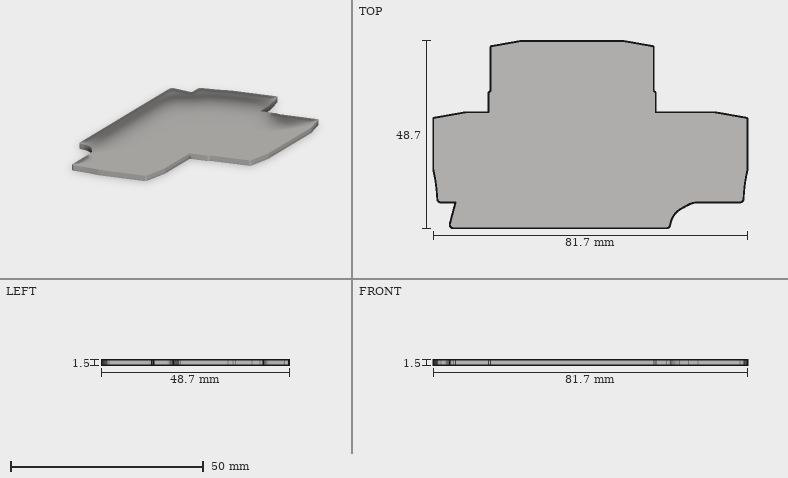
import cadquery as cq
import math

length = 81.7
depth = 48.7
thickness = 1.5
half_length = length / 2

wing_bottom = 6.7
wing_top = 30.15
step_height = 35.45

tower_center = -4.7
tower_half_width = 21.25
tower_step = 0.5
tower_base_half_width = tower_half_width + tower_step
tower_flat_half_width = 13.2
roof_slope = math.tan(math.radians(10))
tower_eave = depth - (tower_half_width - tower_flat_half_width) * roof_slope

wing_flat_end = 32.5
wing_eave = wing_top - (half_length - wing_flat_end) * roof_slope
taper_start = (half_length, 15.3)
taper_bend = (40.1, 11.85)
wing_foot = (39.7, wing_bottom)

foot_left_top = -35.05
foot_left_lean = math.tan(math.radians(15))
foot_left_bottom = foot_left_top - wing_bottom * foot_left_lean
foot_right_bottom = 20.5
hollow_start = (20.9, 1.6)
hollow_middle = (21.5, 3.0)
hollow_end = (23.1, 4.8)
ramp_top = (26.55, wing_bottom)

eave_radius = 0.5
wing_foot_radius = 1.0
taper_start_radius = 6.5
taper_bend_radius = 32.7
foot_radius = 1.0
ramp_radius = 4.9


def mirrored(point):
    """Reflect a point across the line X = 0."""
    return (-point[0], point[1])


def outline_from_right(points):
    """Follow symmetric points up their right side, then down the left."""
    return points + [mirrored(point) for point in reversed(points)]


def on_tower(points):
    """Move points from the tower's centre line to its place on the plate."""
    return [(x + tower_center, y) for x, y in points]


right_wing = [
    wing_foot,
    taper_bend,
    taper_start,
    (half_length, wing_eave),
    (wing_flat_end, wing_top),
]
left_wing = [mirrored(point) for point in reversed(right_wing)]
tower = on_tower(outline_from_right([
    (tower_base_half_width, wing_top),
    (tower_base_half_width, step_height - tower_step / 2),
    (tower_half_width, step_height + tower_step / 2),
    (tower_half_width, tower_eave),
    (tower_flat_half_width, depth),
]))

plate = (
    cq.Workplane("XY")
    .moveTo(foot_left_bottom, 0)
    .lineTo(foot_right_bottom, 0)
    .lineTo(*hollow_start)
    .threePointArc(hollow_middle, hollow_end)
    .lineTo(*ramp_top)
)
for point in right_wing + tower + left_wing:
    plate = plate.lineTo(*point)
plate = plate.lineTo(foot_left_top, wing_bottom).close().extrude(thickness)


def round_corners(body, points, radius):
    """Fillet the upright edges standing at the given outline points."""
    for x, y in points:
        upright = cq.selectors.NearestToPointSelector((x, y, thickness / 2))
        body = body.edges("|Z").edges(upright).fillet(radius)
    return body


wing_eave_corners = outline_from_right([(half_length, wing_eave)])
tower_eave_corners = on_tower(outline_from_right([(tower_half_width, tower_eave)]))

plate = round_corners(plate, wing_eave_corners + tower_eave_corners, eave_radius)
plate = round_corners(plate, outline_from_right([wing_foot]), wing_foot_radius)
plate = round_corners(plate, outline_from_right([taper_start]), taper_start_radius)
plate = round_corners(plate, outline_from_right([taper_bend]), taper_bend_radius)
plate = round_corners(plate, [(foot_left_bottom, 0), (foot_right_bottom, 0)], foot_radius)
plate = round_corners(plate, [ramp_top], ramp_radius)

result = plate